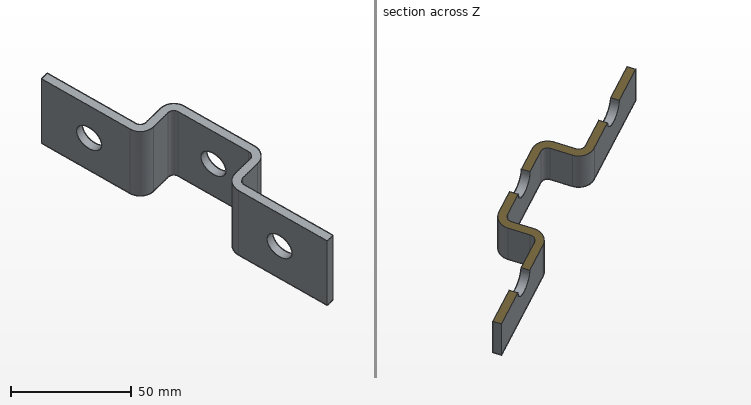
import cadquery as cq

length = 150.0
depth = 24.0
height = 40.0
thickness = 4.0
inner_bend_radius = 3.0
hat_width = 51.0
hole_diameter = 13.0
hole_spacing = 50.0

outer_bend_radius = inner_bend_radius + thickness
half_length = length / 2
outer_wall_x = hat_width / 2
inner_wall_x = outer_wall_x - thickness
front_y = -depth / 2
back_y = depth / 2


def block(x_min, x_max, y_min, y_max):
    """Full-height block centred on the XY plane."""
    width = x_max - x_min
    span = y_max - y_min
    return cq.Workplane("XY").box(width, span, height).translate(
        ((x_min + x_max) / 2, (y_min + y_max) / 2, 0)
    )


def round_edges(body, half_width, y, radius):
    """Round the two upright edges at x = +/-half_width on the given y."""
    for x in (-half_width, half_width):
        edge = cq.selectors.NearestToPointSelector((x, y, 0))
        body = body.edges("|Z").edges(edge).fillet(radius)
    return body


flanges = block(-half_length, half_length, front_y, front_y + thickness)
hat = block(-outer_wall_x, outer_wall_x, front_y, back_y)
channel = block(-inner_wall_x, inner_wall_x, front_y, back_y - thickness)
strip = flanges.union(hat).cut(channel)

strip = round_edges(strip, outer_wall_x, back_y, outer_bend_radius)
strip = round_edges(strip, inner_wall_x, back_y - thickness, inner_bend_radius)
strip = round_edges(strip, outer_wall_x, front_y + thickness, inner_bend_radius)
strip = round_edges(strip, inner_wall_x, front_y, outer_bend_radius)

holes = (
    cq.Workplane("XZ")
    .rarray(hole_spacing, 1.5, 3, 1)
    .circle(hole_diameter / 2)
    .extrude(depth, both=True)
)

result = strip.cut(holes)